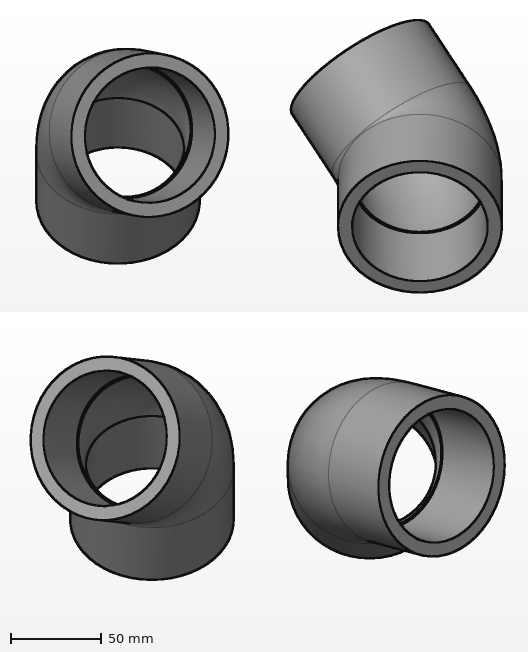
import cadquery as cq
import math

outer_diameter = 90.5
socket_diameter = 74.9
bend_bore_diameter = 73.0
leg_length = 43.3
socket_depth = 44.5
bend_radius = 46.3
bend_angle = 45.0

angle = math.radians(bend_angle)
bend_end = (
    bend_radius * (1 - math.cos(angle)),
    0,
    leg_length + bend_radius * math.sin(angle),
)
outlet_direction = (math.sin(angle), 0, math.cos(angle))


def lower_leg(diameter, length):
    """Vertical cylinder running up from the bottom mouth."""
    return cq.Workplane("XY").circle(diameter / 2).extrude(length)


def bend(diameter):
    """Torus segment joining the two legs."""
    return (
        cq.Workplane("XY", origin=(0, 0, leg_length))
        .circle(diameter / 2)
        .revolve(bend_angle, (bend_radius, 0, 0), (bend_radius, 1, 0))
    )


def upper_leg(diameter, length):
    """Tilted cylinder running back from the upper mouth towards the bend."""
    end_plane = cq.Plane(origin=bend_end, xDir=(0, 1, 0), normal=outlet_direction)
    mouth = cq.Workplane(end_plane).workplane(offset=leg_length)
    return mouth.circle(diameter / 2).extrude(-length)


body = (
    lower_leg(outer_diameter, leg_length)
    .union(bend(outer_diameter))
    .union(upper_leg(outer_diameter, leg_length))
)

result = (
    body.cut(bend(bend_bore_diameter))
    .cut(lower_leg(socket_diameter, socket_depth))
    .cut(upper_leg(socket_diameter, socket_depth))
)